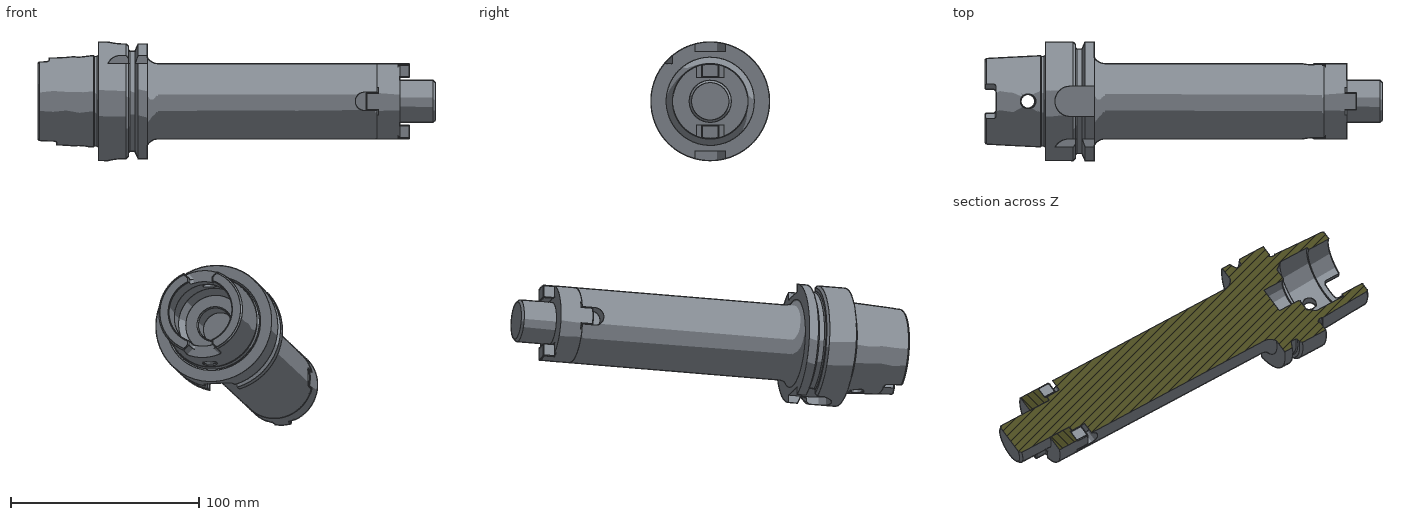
import cadquery as cq
import math


total_length = 211.0
flange_start = 32.0
flange_width = 26.0
flange_end = flange_start + flange_width
shaft_end = 180.0
ring_width = 12.0
ring_end = shaft_end + ring_width

shank_tip_radius = 22.8
shank_root_radius = 24.3
shank_chamfer = 0.8
relief_start = 29.5
relief_depth = 0.5
relief_radius = shank_root_radius - relief_depth
relief_floor_length = 1.3
face_recess_radius = 25.5
face_recess_depth = 0.6
face_recess_bevel = 0.8

mouth_radius = 17.0
mouth_chamfer = 0.5
mouth_length = 12.9
chamber_radius = 18.5
chamber_length = 29.5
floor_radius = 15.6
floor_depth = 33.8
centre_hole_radius = 8.9
centre_hole_chamfer = 0.6
centre_hole_end = 46.5

slot_half_width = 6.3
slot_flare_height = 18.1
slot_profile_height = 25.3
slot_mouth_chamfer = 0.6
slot_corner_radius = 1.7
upper_slot_depth = 6.0
lower_slot_depth = 10.0
cross_hole_x = 22.8
cross_hole_radius = 3.5
countersink_start = 23.2
countersink_growth = 0.8

flange_diameter = 63.0
flange_radius = flange_diameter / 2
groove_start = 46.8
groove_end = 53.2
groove_radius = 27.9
groove_lip = 1.3
groove_root_bevel = 0.6
groove_flank = 1.7
keyway_half_width = 8.0
keyway_start = 37.1
keyway_floor = 26.4
notch_offset = 20.0
notch_cutter_radius = keyway_half_width
notch_cutter_x = 44.3

shaft_radius = 20.0
collar_radius = 23.5
collar_fillet_end = 63.7
shaft_end_taper_length = 1.0
shaft_end_taper_height = 0.2
pilot_radius = 11.2
pilot_chamfer = 1.3

tang_half_width = 4.6
tang_inner_radius = 12.7
front_tang_length = 5.3
rear_tang_length = 6.0
tang_chamfer = 0.5
tang_relief_half_width = 7.4
tang_relief_depth = 0.8
key_slot_clearance = 0.2
key_slot_half_width = tang_half_width + key_slot_clearance
key_slot_start = 168.4


def box(x_range, y_range, z_range):
    """Axis-aligned block between pairs of limits."""
    sizes = [high - low for low, high in (x_range, y_range, z_range)]
    corner = (x_range[0], y_range[0], z_range[0])
    return cq.Workplane("XY").box(*sizes, centered=False).translate(corner)


def round_ended_slot(start, end, half_width, floor, top):
    """Slot cutter along +X with a half-round start, between the heights floor and top."""
    centre_x = start + half_width
    round_end = cq.Workplane("XY", origin=(centre_x, 0, floor)).circle(half_width).extrude(top - floor)
    return round_end.union(box((centre_x, end), (-half_width, half_width), (floor, top)))


def about_x(shape, angle):
    """Turn a shape about the arbor axis."""
    return shape.rotate((0, 0, 0), (1, 0, 0), angle)


def arbor_blank():
    """Outside of the arbor, from the shank to the pilot."""
    fillet_run = collar_fillet_end - flange_end
    fillet_rise = collar_radius - shaft_radius
    fillet_radius = (fillet_run**2 + fillet_rise**2) / (2 * fillet_rise)
    half_angle = math.asin(fillet_run / fillet_radius) / 2
    fillet_middle = (
        collar_fillet_end - fillet_radius * math.sin(half_angle),
        shaft_radius + fillet_radius * (1 - math.cos(half_angle)),
    )
    relief_floor_start = relief_start + relief_depth
    lip_end = groove_start + groove_lip
    outline = (
        cq.Workplane("XY")
        .moveTo(0, 0)
        .lineTo(0, shank_tip_radius - shank_chamfer)
        .lineTo(shank_chamfer, shank_tip_radius)
        .lineTo(relief_start, shank_root_radius)
        .lineTo(relief_floor_start, relief_radius)
        .lineTo(relief_floor_start + relief_floor_length, relief_radius)
        .lineTo(flange_start + face_recess_depth, face_recess_radius - face_recess_bevel)
        .lineTo(flange_start, face_recess_radius)
        .lineTo(flange_start, flange_radius)
        .lineTo(groove_start, flange_radius)
        .lineTo(lip_end, flange_radius - groove_lip)
        .lineTo(lip_end, groove_radius + groove_root_bevel)
        .lineTo(lip_end + groove_root_bevel, groove_radius)
        .lineTo(groove_end - groove_flank, groove_radius)
        .lineTo(groove_end, flange_radius)
        .lineTo(flange_end, flange_radius)
        .lineTo(flange_end, collar_radius)
        .threePointArc(fillet_middle, (collar_fillet_end, shaft_radius))
        .lineTo(shaft_end - shaft_end_taper_length, shaft_radius)
        .lineTo(shaft_end, shaft_radius - shaft_end_taper_height)
        .lineTo(shaft_end, pilot_radius)
        .lineTo(total_length - pilot_chamfer, pilot_radius)
        .lineTo(total_length, pilot_radius - pilot_chamfer)
        .lineTo(total_length, 0)
        .close()
    )
    return outline.revolve(360, (0, 0, 0), (1, 0, 0))


def shank_bore():
    """Stepped bore: narrow mouth, wider chamber, conical end and blind centre hole."""
    outline = [
        (0, 0),
        (0, mouth_radius + mouth_chamfer),
        (mouth_chamfer, mouth_radius),
        (mouth_length, mouth_radius),
        (mouth_length, chamber_radius),
        (chamber_length, chamber_radius),
        (floor_depth, floor_radius),
        (floor_depth, centre_hole_radius + centre_hole_chamfer),
        (floor_depth + centre_hole_chamfer, centre_hole_radius),
        (centre_hole_end, centre_hole_radius),
        (centre_hole_end, 0),
    ]
    return cq.Workplane("XY").polyline(outline).close().revolve(360, (0, 0, 0), (1, 0, 0))


def slot_section(growth):
    """Slot section on the shank end: straight walls flaring at 45 degrees, widened by growth."""
    foot = slot_half_width + growth
    tip = foot + slot_profile_height - slot_flare_height
    right_side = [(foot, 0), (foot, slot_flare_height), (tip, slot_profile_height)]
    left_side = [(-y, z) for y, z in reversed(right_side)]
    return cq.Workplane("YZ").polyline(right_side + left_side).close()


def shank_slot(depth):
    """Drive slot in the +Z side of the shank, with rounded floor corners and a chamfered mouth."""
    slot = slot_section(0).extrude(depth)
    slot = slot.faces(">X").edges("not |Y").fillet(slot_corner_radius)
    mouth = slot_section(slot_mouth_chamfer).extrude(slot_mouth_chamfer, taper=45)
    return slot.union(mouth)


def cross_hole():
    """Hole across the shank along Z, countersunk at both ends."""
    hole = (
        cq.Workplane("XY", origin=(cross_hole_x, 0, 0))
        .circle(cross_hole_radius)
        .extrude(shank_root_radius, both=True)
    )
    cone_height = shank_root_radius - countersink_start
    countersink = (
        cq.Workplane("XY", origin=(cross_hole_x, 0, countersink_start))
        .circle(cross_hole_radius)
        .workplane(offset=cone_height)
        .circle(cross_hole_radius + countersink_growth)
        .loft()
    )
    return hole.union(countersink).union(about_x(countersink, 180))


def flange_keyway():
    """Round-ended keyway in the +Z side of the flange, open towards the shaft."""
    return round_ended_slot(keyway_start, flange_end, keyway_half_width, keyway_floor, flange_radius)


def flange_notch():
    """Square notch in the -Y, +Z corner of the flange, ended by an upright round cutter."""
    cutter_y = -notch_offset - notch_cutter_radius
    round_end = (
        cq.Workplane("XY", origin=(notch_cutter_x, cutter_y, notch_offset))
        .circle(notch_cutter_radius)
        .extrude(flange_radius - notch_offset)
    )
    straight = box(
        (notch_cutter_x, flange_end),
        (-flange_radius, -notch_offset),
        (notch_offset, flange_radius),
    )
    return round_end.union(straight)


def shaft_key_slot():
    """Round-ended slot in the +Z side of the shaft end, for a rear tang of the ring."""
    return round_ended_slot(
        key_slot_start, shaft_end, key_slot_half_width, tang_inner_radius, shaft_radius
    )


def make_arbor():
    arbor = arbor_blank().cut(shank_bore())
    arbor = arbor.cut(shank_slot(upper_slot_depth))
    arbor = arbor.cut(about_x(shank_slot(lower_slot_depth), 180))
    arbor = arbor.cut(cross_hole())
    for angle in (0, 180):
        arbor = arbor.cut(about_x(flange_keyway(), angle))
    arbor = arbor.cut(flange_notch())
    for angle in (90, -90):
        arbor = arbor.cut(about_x(shaft_key_slot(), angle))
    return arbor


def tang(start, end, free_face):
    """Tang on the +Z side, chamfered round its free face and along its length."""
    block = box((start, end), (-tang_half_width, tang_half_width), (tang_inner_radius, shaft_radius))
    cylinder = cq.Workplane("YZ", origin=(start, 0, 0)).circle(shaft_radius).extrude(end - start)
    shaped = block.intersect(cylinder)
    free_edges = shaped.faces(free_face).edges().add(shaped.edges("|X"))
    return free_edges.chamfer(tang_chamfer)


def tang_relief(start):
    """Shallow undercut across the +Z side of the ring at the foot of a tang."""
    return box(
        (start, start + tang_relief_depth),
        (-tang_relief_half_width, tang_relief_half_width),
        (tang_inner_radius, shaft_radius),
    )


def make_driving_ring():
    ring = (
        cq.Workplane("YZ", origin=(shaft_end, 0, 0))
        .circle(shaft_radius)
        .circle(pilot_radius)
        .extrude(ring_width)
    )
    front_foot = ring_end - tang_relief_depth
    front_tang = tang(front_foot, ring_end + front_tang_length, ">X")
    for angle in (0, 180):
        ring = ring.cut(about_x(tang_relief(front_foot), angle))
        ring = ring.union(about_x(front_tang, angle))
    rear_foot = shaft_end + tang_relief_depth
    rear_tang = tang(shaft_end - rear_tang_length, rear_foot, "<X")
    for angle in (90, -90):
        ring = ring.cut(about_x(tang_relief(shaft_end), angle))
        ring = ring.union(about_x(rear_tang, angle))
    return ring


arbor = make_arbor()
driving_ring = make_driving_ring()

result = cq.Compound.makeCompound([arbor.val(), driving_ring.val()])